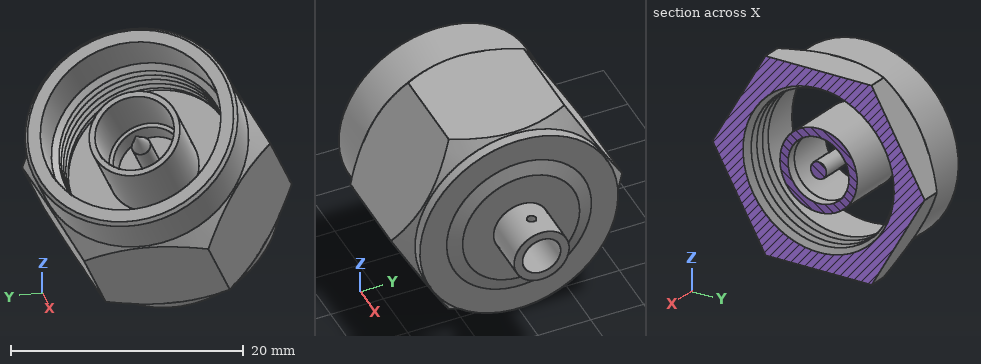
import cadquery as cq
import math


nut_length = 17.0
collar_radius = 9.375
front_chamfer = 0.3
hex_across_flats = 18.95
hex_corner_radius = hex_across_flats / 2 / math.cos(math.pi / 6)
hex_start = 4.5
hex_end = 16.0
corner_rise = hex_corner_radius - collar_radius

bore_radius = 7.95
thread_start = 4.3
thread_minor_radius = 7.36
thread_pitch = 0.88
crest_count = 5
flank_slope = math.tan(math.pi / 6)
thread_root_radius = thread_minor_radius + thread_pitch / 2 / flank_slope
first_crest = thread_start + (bore_radius - thread_minor_radius) * flank_slope
unfinished_crest = first_crest + crest_count * thread_pitch
flange_front = 8.95
flange_radius = thread_minor_radius + (unfinished_crest - flange_front) / flank_slope
rear_lip_length = 1.5
rear_lip_start = nut_length - rear_lip_length
rear_lip_radius = 6.84

total_length = 21.65
ferrule_front = 1.55
ferrule_radius = 4.0
ferrule_mouth_radius = 3.49
ferrule_inner_radius = 3.11
ferrule_step = 7.0
ferrule_floor = 9.0
nose_end = 17.43
nose_end_radius = 5.53
tail_radius = 2.6
cable_bore_radius = 1.8
solder_hole_radius = 0.41
solder_hole_x = 19.6

pin_radius = 0.83
pin_tip = 2.1
pin_cone_length = 2.0


def turned(profile):
    """Solid of revolution about the X axis from (x, radius) points."""
    return cq.Workplane("XZ").polyline(profile).close().revolve(360, (0, 0, 0), (1, 0, 0))


def rod(radius, start, end):
    """Solid cylinder on the X axis between two stations."""
    return turned([(start, 0), (start, radius), (end, radius), (end, 0)])


def nut_outside():
    collar = rod(collar_radius, 0, nut_length).faces("<X").chamfer(front_chamfer)
    hexagon = (
        cq.Workplane("YZ")
        .workplane(offset=hex_start)
        .polygon(6, 2 * hex_corner_radius)
        .extrude(hex_end - hex_start)
    )
    corner_envelope = turned([
        (hex_start, 0),
        (hex_start, collar_radius),
        (hex_start + corner_rise, hex_corner_radius),
        (hex_end - corner_rise, hex_corner_radius),
        (hex_end, collar_radius),
        (hex_end, 0),
    ])
    return collar.union(hexagon.intersect(corner_envelope))


def nut_inside():
    """Front bore, ring-shaped thread grooves, flange seat and rear lip bore."""
    profile = [(0, 0), (0, bore_radius), (thread_start, bore_radius)]
    for turn in range(crest_count):
        crest = first_crest + turn * thread_pitch
        profile += [
            (crest, thread_minor_radius),
            (crest + thread_pitch / 2, thread_root_radius),
        ]
    profile += [
        (flange_front, flange_radius),
        (rear_lip_start, flange_radius),
        (rear_lip_start, rear_lip_radius),
        (nut_length, rear_lip_radius),
        (nut_length, 0),
    ]
    return turned(profile)


def make_nut():
    return nut_outside().cut(nut_inside())


def make_plug():
    body = turned([
        (ferrule_front, 0),
        (ferrule_front, ferrule_radius),
        (flange_front, ferrule_radius),
        (flange_front, flange_radius),
        (rear_lip_start, flange_radius),
        (rear_lip_start, rear_lip_radius),
        (nut_length, rear_lip_radius),
        (nose_end, nose_end_radius),
        (nose_end, tail_radius),
        (total_length, tail_radius),
        (total_length, 0),
    ])
    socket = rod(ferrule_mouth_radius, ferrule_front, ferrule_step).union(
        rod(ferrule_inner_radius, ferrule_step, ferrule_floor)
    )
    pin = turned([
        (pin_tip, 0),
        (pin_tip + pin_cone_length, pin_radius),
        (ferrule_floor, pin_radius),
        (ferrule_floor, 0),
    ])
    cable_bore = rod(cable_bore_radius, nose_end, total_length)
    solder_hole = (
        cq.Workplane("XY").center(solder_hole_x, 0).circle(solder_hole_radius).extrude(tail_radius)
    )
    return body.cut(socket.cut(pin)).cut(cable_bore).cut(solder_hole)


nut = make_nut()
plug = make_plug()
result = cq.Compound.makeCompound([nut.val(), plug.val()])